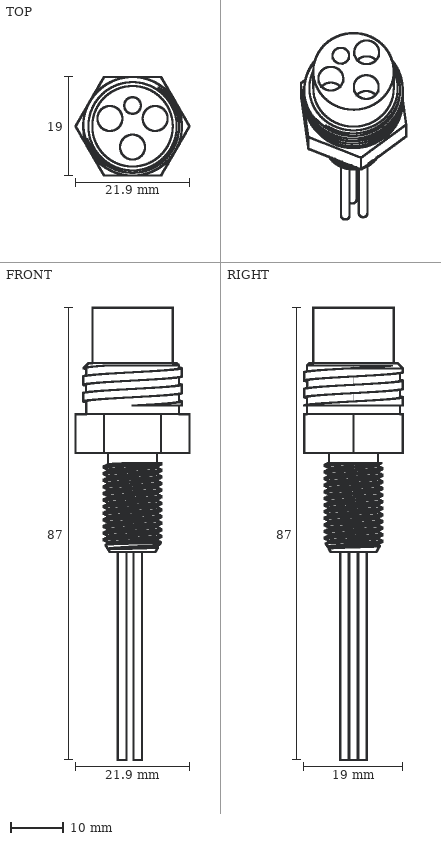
import cadquery as cq
import math

wire_length = 40.0
stem_length = 19.0
hex_height = 7.5
collar_length = 9.8
overall_length = 87.0

stem_bottom_z = wire_length
hex_bottom_z = stem_bottom_z + stem_length
hex_top_z = hex_bottom_z + hex_height
collar_top_z = hex_top_z + collar_length
hub_length = overall_length - collar_top_z

hub_diameter = 15.5
socket_diameter = 4.8
socket_depth = 10.0
socket_centres = [(-4.35, 1.5), (4.35, 1.5), (0.0, -4.0)]
key_hole_diameter = 3.2
key_hole_centre = (0.0, 4.0)

hex_across_flats = 19.0
hex_sides = 6
hex_across_corners = hex_across_flats / math.cos(math.pi / hex_sides)

collar_root_diameter = 17.9
collar_thread_diameter = 19.0
collar_thread_pitch = 3.2
collar_thread_width = collar_thread_pitch / 2
collar_neck_length = 1.65
collar_thread_start_z = hex_top_z + collar_neck_length
collar_top_diameter = 17.0
collar_thread_start_angle = -90
collar_thread_phase_z = collar_thread_start_z - collar_thread_width / 2 - collar_thread_pitch

stem_root_diameter = 9.5
stem_thread_diameter = 11.1
stem_thread_pitch = 1.27
stem_thread_root_width = 1.0
stem_thread_crest_width = 0.2
stem_neck_length = 1.9
stem_end_diameter = 8.8
stem_chamfer_slope = 1.7
stem_thread_top_z = hex_bottom_z - stem_neck_length
stem_thread_start_angle = 180
stem_thread_run_in = 1.445
stem_thread_phase_z = stem_bottom_z - stem_thread_run_in

wire_diameter = 1.7
wire_circle_radius = 2.0
wire_count = 3
wire_embed = 1.0

thread_overlap = 0.1
trim_clearance = 0.2


def cylinder(diameter, bottom_z, height, centre=(0.0, 0.0)):
    return (
        cq.Workplane("XY", origin=(centre[0], centre[1], bottom_z))
        .circle(diameter / 2)
        .extrude(height)
    )


def revolved(profile):
    """Revolve (radius, z) points about the part's axis."""
    return cq.Workplane("XZ").polyline(profile).close().revolve(360, (0, 0, 0), (0, 1, 0))


def thread_ridge(root_diameter, crest_diameter, root_width, crest_width, pitch, start_z, height, start_angle):
    """Right-hand helical ridge whose section is centred on start_z at start_angle."""
    crest = crest_diameter / 2
    root = root_diameter / 2
    foot = root - thread_overlap
    flank_slope = (root_width - crest_width) / (crest - root)
    foot_width = root_width + flank_slope * thread_overlap
    helix = cq.Wire.makeHelix(pitch, height, root)
    section = (
        cq.Workplane("XZ")
        .moveTo(foot, -foot_width / 2)
        .lineTo(crest, -crest_width / 2)
        .lineTo(crest, crest_width / 2)
        .lineTo(foot, foot_width / 2)
        .close()
    )
    ridge = section.sweep(cq.Workplane(obj=helix), isFrenet=True)
    return ridge.rotate((0, 0, 0), (0, 0, 1), start_angle).translate((0, 0, start_z))


def threaded_rod(root_diameter, bottom_z, top_z, pitch, ridge):
    """Core fused with its ridge, left two pitches too long at each end for trimming."""
    core = cylinder(root_diameter, bottom_z - 2 * pitch, top_z - bottom_z + 4 * pitch)
    return core.union(ridge)


def make_collar():
    crest_radius = collar_thread_diameter / 2 + trim_clearance
    top_radius = collar_top_diameter / 2
    shoulder_z = collar_top_z - (crest_radius - top_radius)
    ridge = thread_ridge(
        collar_root_diameter,
        collar_thread_diameter,
        collar_thread_width,
        collar_thread_width,
        collar_thread_pitch,
        collar_thread_phase_z,
        collar_top_z - collar_thread_phase_z + collar_thread_pitch,
        collar_thread_start_angle,
    )
    rod = threaded_rod(
        collar_root_diameter, collar_thread_start_z, collar_top_z, collar_thread_pitch, ridge
    )
    trim = revolved([
        (0, collar_thread_start_z),
        (crest_radius, collar_thread_start_z),
        (crest_radius, shoulder_z),
        (top_radius, collar_top_z),
        (0, collar_top_z),
    ])
    neck = cylinder(collar_root_diameter, hex_top_z, collar_neck_length)
    return rod.intersect(trim).union(neck)


def make_stem():
    crest_radius = stem_thread_diameter / 2 + trim_clearance
    end_radius = stem_end_diameter / 2
    chamfer_top_z = stem_bottom_z + (crest_radius - end_radius) * stem_chamfer_slope
    ridge = thread_ridge(
        stem_root_diameter,
        stem_thread_diameter,
        stem_thread_root_width,
        stem_thread_crest_width,
        stem_thread_pitch,
        stem_thread_phase_z,
        stem_thread_top_z - stem_thread_phase_z + stem_thread_pitch,
        stem_thread_start_angle,
    )
    rod = threaded_rod(
        stem_root_diameter, stem_bottom_z, stem_thread_top_z, stem_thread_pitch, ridge
    )
    trim = revolved([
        (0, stem_bottom_z),
        (end_radius, stem_bottom_z),
        (crest_radius, chamfer_top_z),
        (crest_radius, stem_thread_top_z),
        (0, stem_thread_top_z),
    ])
    neck = cylinder(stem_root_diameter, stem_thread_top_z, stem_neck_length)
    return rod.intersect(trim).union(neck)


def make_hex():
    return (
        cq.Workplane("XY", origin=(0, 0, hex_bottom_z))
        .polygon(hex_sides, hex_across_corners)
        .extrude(hex_height)
    )


def make_hub():
    hub = cylinder(hub_diameter, collar_top_z, hub_length)
    socket_floor_z = overall_length - socket_depth
    for centre in socket_centres:
        hub = hub.cut(cylinder(socket_diameter, socket_floor_z, socket_depth, centre))
    return hub.cut(cylinder(key_hole_diameter, socket_floor_z, socket_depth, key_hole_centre))


def add_wires(body):
    for index in range(wire_count):
        angle = math.pi + index * 2 * math.pi / wire_count
        centre = (wire_circle_radius * math.cos(angle), wire_circle_radius * math.sin(angle))
        body = body.union(cylinder(wire_diameter, 0, wire_length + wire_embed, centre))
    return body


body = make_hex().union(make_collar()).union(make_hub()).union(make_stem())
result = add_wires(body)